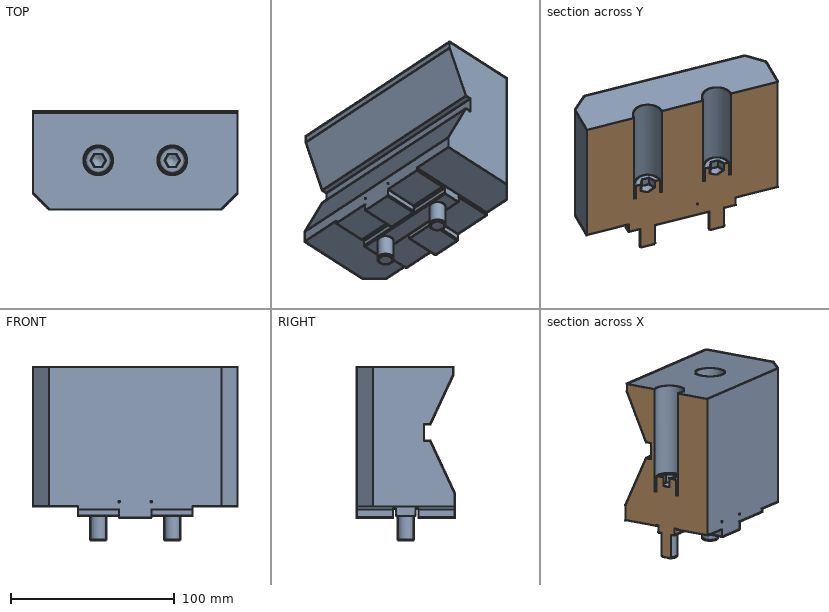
import cadquery as cq
import math

LENGTH = 125.0
WIDTH = 60.0
HEIGHT = 85.0
CORNER_CHAMFER = 10.0

SEAT_CENTER_DROP = 40.0
SEAT_DEPTH = 15.0
SEAT_WALL_ANGLE = 25.0
SLOT_WIDTH = 10.0
SLOT_DEPTH = 18.8
UPPER_SETBACK = 1.0

PAD_LENGTH = 70.0
PAD_HEIGHT = 2.0

KEY_CHAMFER = 0.5
CROSS_KEY_WIDTH = 20.0
CROSS_KEY_DROP = 7.0
CROSS_KEY_INSET = 3.0
LONG_KEY_WIDTH = 12.0
LONG_KEY_DROP = 6.0
KEY_GROOVE_WIDTH = 15.5
KEY_GROOVE_TOP = -1.6

SCREW_SPACING = 45.1
SCREW_REACH = 21.0
SHANK_DIAMETER = 10.0
TIP_CHAMFER = 0.9
HEAD_DIAMETER = 16.0
HEAD_HEIGHT = 10.0
HEAD_FILLET = 1.0
SOCKET_FLATS = 8.0
SOCKET_DEPTH = 5.0
SOCKET_CONE_HEIGHT = 2.5
COUNTERBORE_DIAMETER = 18.0
COUNTERBORE_FLOOR = 20.0

REAR = WIDTH / 2


def block_body():
    """Block with vertical chamfers on its two front corners."""
    body = cq.Workplane("XY").box(LENGTH, WIDTH, HEIGHT, centered=(True, True, False))
    return body.faces("<Y").edges("|Z").chamfer(CORNER_CHAMFER)


def rear_seat():
    """Cutter for the V seat, its relief slot and the set-back land above it."""
    slope = math.tan(math.radians(SEAT_WALL_ANGLE))
    center = HEIGHT - SEAT_CENTER_DROP
    slot_top = center + SLOT_WIDTH / 2
    slot_bottom = center - SLOT_WIDTH / 2
    v_floor = REAR - SEAT_DEPTH
    slot_floor = REAR - SLOT_DEPTH
    outline = [
        (REAR, HEIGHT),
        (REAR - UPPER_SETBACK, HEIGHT),
        (REAR - UPPER_SETBACK, slot_top + (SEAT_DEPTH - UPPER_SETBACK) / slope),
        (v_floor, slot_top),
        (slot_floor, slot_top),
        (slot_floor, slot_bottom),
        (v_floor, slot_bottom),
        (REAR, slot_bottom - SEAT_DEPTH / slope),
    ]
    return cq.Workplane("YZ").polyline(outline).close().extrude(LENGTH / 2, both=True)


def bar(x_size, y_size, bottom, top):
    """Bar centered in X and Y, between two heights."""
    base = cq.Workplane("XY").workplane(offset=bottom)
    return base.box(x_size, y_size, top - bottom, centered=(True, True, False))


def add_keys(body):
    """Pad with a split cross key, a groove, and a long key inside the groove."""
    body = body.union(bar(PAD_LENGTH, WIDTH, -PAD_HEIGHT, 0))
    body = body.cut(bar(CROSS_KEY_WIDTH, WIDTH, -PAD_HEIGHT, CROSS_KEY_INSET))
    cross_key = bar(CROSS_KEY_WIDTH, WIDTH, -CROSS_KEY_DROP, CROSS_KEY_INSET)
    body = body.union(cross_key.edges("|Y").chamfer(KEY_CHAMFER))
    body = body.cut(bar(PAD_LENGTH, KEY_GROOVE_WIDTH, -CROSS_KEY_DROP, KEY_GROOVE_TOP))
    long_key = bar(PAD_LENGTH, LONG_KEY_WIDTH, -LONG_KEY_DROP, KEY_GROOVE_TOP)
    return body.union(long_key.faces("<Z").edges("|X").chamfer(KEY_CHAMFER))


def cylinder(diameter, bottom, top):
    """Upright cylinder on the Z axis, between two heights."""
    return cq.Workplane("XY").workplane(offset=bottom).circle(diameter / 2).extrude(top - bottom)


def screw():
    """Socket head screw standing on the counterbore floor, pointing down."""
    head_top = COUNTERBORE_FLOOR + HEAD_HEIGHT
    shank = cylinder(SHANK_DIAMETER, -SCREW_REACH, COUNTERBORE_FLOOR)
    shank = shank.faces("<Z").chamfer(TIP_CHAMFER)
    head = cylinder(HEAD_DIAMETER, COUNTERBORE_FLOOR, head_top)
    head = head.faces(">Z").edges().fillet(HEAD_FILLET)

    socket_floor = head_top - SOCKET_DEPTH
    socket_corners = SOCKET_FLATS / math.cos(math.pi / 6)
    socket_tip = socket_floor - SOCKET_CONE_HEIGHT
    socket_prism = cq.Workplane("XY").workplane(offset=socket_tip).polygon(6, socket_corners)
    socket_prism = socket_prism.extrude(head_top - socket_tip)
    socket_turning = (
        cq.Workplane("XZ")
        .moveTo(0, socket_tip)
        .lineTo(socket_corners / 2, socket_floor)
        .lineTo(socket_corners / 2, head_top)
        .lineTo(0, head_top)
        .close()
        .revolve()
    )
    return shank.union(head).cut(socket_prism.intersect(socket_turning))


def add_screws(body):
    """Counterbores from the top, each holding one screw."""
    counterbore = cylinder(COUNTERBORE_DIAMETER, COUNTERBORE_FLOOR, HEIGHT)
    for x in (-SCREW_SPACING / 2, SCREW_SPACING / 2):
        body = body.cut(counterbore.translate((x, 0, 0)))
        body = body.union(screw().translate((x, 0, 0)))
    return body


result = add_screws(add_keys(block_body().cut(rear_seat())))